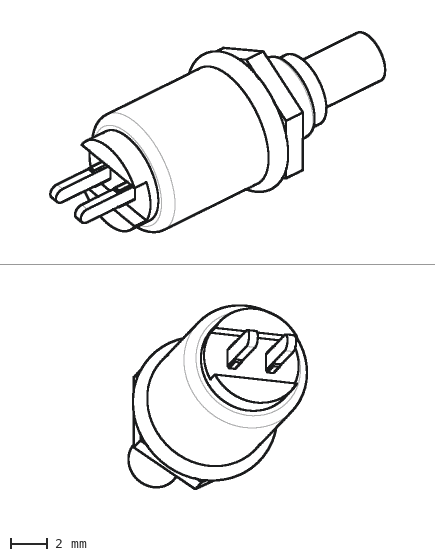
import cadquery as cq
import math

total_length = 20.87
plunger_end = total_length / 2
terminal_end = -total_length / 2

plunger_diameter = 2.9
collar_diameter = 4.2
bushing_diameter = 4.82
body_diameter = 7.01
insert_diameter = 5.4
ring_outer_diameter = 8.2

plunger_length = 4.55
collar_length = 1.02
bushing_length = 1.7
bushing_chamfer_length = 0.15
bushing_chamfer_depth = 0.05
nut_thickness = 1.17
ring_section_radius = (ring_outer_diameter - body_diameter) / 2
body_length = 7.55
body_fillet = 0.52
insert_length = 1.35

slot_depth = 0.81
slot_height = 2.7

terminal_spacing = 2.2
terminal_thickness = 0.5
terminal_height = 0.92
terminal_root_height = 1.17
terminal_root_length = 1.13
terminal_root_overlap = 0.2
terminal_root_slope = 30.0

collar_end = plunger_end - plunger_length
bushing_end = collar_end - collar_length
nut_top = bushing_end - bushing_length
nut_bottom = nut_top - nut_thickness
ring_center = nut_bottom - ring_section_radius
body_bottom = ring_center - body_length
insert_bottom = body_bottom - insert_length
slot_floor = insert_bottom + slot_depth


def cylinder(diameter, y_low, y_high):
    """Solid cylinder on the switch axis between two stations."""
    return cq.Workplane("XZ", origin=(0, y_high, 0)).circle(diameter / 2).extrude(y_high - y_low)


def make_bushing():
    """Bushing with a slim chamfer around its plunger end."""
    bushing = cylinder(bushing_diameter, nut_top, bushing_end)
    return bushing.faces(">Y").chamfer(bushing_chamfer_length, bushing_chamfer_depth)


def make_nut():
    """Hexagonal nut with corners on +Z and -Z; its flats match the body."""
    corner_radius = body_diameter / 2 / math.cos(math.pi / 6)
    corners = []
    for index in range(6):
        angle = math.pi / 2 + index * math.pi / 3
        corners.append((corner_radius * math.cos(angle), corner_radius * math.sin(angle)))
    return cq.Workplane("XZ", origin=(0, nut_top, 0)).polyline(corners).close().extrude(nut_thickness)


def make_body():
    """Cylindrical body rounded at the terminal end."""
    return cylinder(body_diameter, body_bottom, nut_bottom).faces("<Y").edges().fillet(body_fillet)


def make_sealing_ring():
    """Ring with a half-round section standing out from the body surface."""
    body_radius = body_diameter / 2
    return (
        cq.Workplane("XY", origin=(0, ring_center, 0))
        .moveTo(0, ring_section_radius)
        .lineTo(body_radius, ring_section_radius)
        .threePointArc((ring_outer_diameter / 2, 0), (body_radius, -ring_section_radius))
        .lineTo(0, -ring_section_radius)
        .close()
        .revolve(360, (0, 0, 0), (0, 1, 0))
    )


def make_insert():
    """Terminal carrier with a slot running through along X."""
    insert = cylinder(insert_diameter, insert_bottom, body_bottom)
    slot = cq.Workplane("XY").box(insert_diameter, slot_depth, slot_height)
    return insert.cut(slot.translate((0, slot_floor - slot_depth / 2, 0)))


def make_terminal(x_center):
    """Flat blade with a full round tip and a raised pad with sloped sides on each edge of its root."""
    half_height = terminal_height / 2
    round_start = terminal_end + half_height
    blade = (
        cq.Workplane("YZ", origin=(x_center - terminal_thickness / 2, 0, 0))
        .moveTo(slot_floor, half_height)
        .lineTo(round_start, half_height)
        .threePointArc((terminal_end, 0), (round_start, -half_height))
        .lineTo(slot_floor, -half_height)
        .close()
        .extrude(terminal_thickness)
    )
    pad_y = slot_floor + (terminal_root_overlap - terminal_root_length) / 2
    pad = (
        cq.Workplane("XY", origin=(x_center, pad_y, half_height))
        .rect(terminal_thickness, terminal_root_length + terminal_root_overlap)
        .extrude(terminal_root_height / 2 - half_height, taper=terminal_root_slope)
    )
    return blade.union(pad).union(pad.mirror("XY"))


result = (
    cylinder(plunger_diameter, collar_end, plunger_end)
    .union(cylinder(collar_diameter, bushing_end, collar_end))
    .union(make_bushing())
    .union(make_nut())
    .union(make_body())
    .union(make_sealing_ring())
    .union(make_insert())
)
for side in (-1, 1):
    result = result.union(make_terminal(side * terminal_spacing / 2))